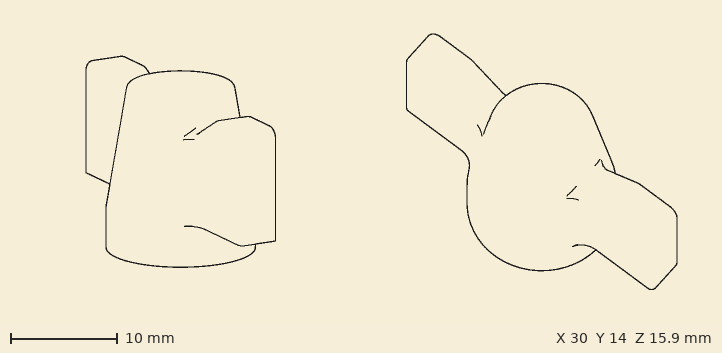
import cadquery as cq
import math

hub_diameter = 14.0
hub_radius = hub_diameter / 2
base_height = 4.0
total_height = 15.87
crown_radius = 5.0
crown_fillet = 0.5
seam_angle = 90.0

span = 30.0
wing_thickness = 4.0
wing_top = 15.0
shoulder_x = 10.05
shoulder_angle = 30.0
corner_radius = 1.2
shoulder_radius = 1.5
edge_fillet = 0.5
root_fillet = 2.0


def slope_height(x):
    """Height of the sloping wing top at a given distance from the axis."""
    return wing_top - (shoulder_x - abs(x)) * math.tan(math.radians(shoulder_angle))


def make_hub():
    """Base cylinder and tapered knob, kept apart until the wings are blended in."""
    base = cq.Workplane("XY").circle(hub_radius).extrude(base_height)
    knob = cq.Solid.makeCone(
        hub_radius,
        crown_radius,
        total_height - base_height,
        pnt=cq.Vector(0, 0, base_height),
    )
    return base, cq.Workplane(knob).rotate((0, 0, 0), (0, 0, 1), seam_angle)


def make_wings():
    """Both grips as one plate whose valley lies inside the knob."""
    half_span = span / 2
    profile = [
        (-half_span, base_height),
        (half_span, base_height),
        (half_span, wing_top),
        (shoulder_x, wing_top),
        (0, slope_height(0)),
        (-shoulder_x, wing_top),
        (-half_span, wing_top),
    ]
    plate = (
        cq.Workplane("XZ").polyline(profile).close()
        .extrude(wing_thickness / 2, both=True)
    )
    end_corners = plate.edges("|Y and >Z").filter(
        lambda edge: math.isclose(abs(edge.Center().x), half_span, abs_tol=0.003)
    )
    plate = end_corners.fillet(corner_radius)
    shoulders = plate.edges("|Y").filter(
        lambda edge: math.isclose(abs(edge.Center().x), shoulder_x, abs_tol=0.003)
    )
    return shoulders.fillet(shoulder_radius)


def round_roots(body):
    """Blend the flat wing sides into the tapered knob."""
    roots = body.edges("%HYPERBOLA")
    return roots.fillet(root_fillet)


def touches_slope_end(edge):
    """True for the curved edge that continues a wing slope around its root blend."""
    half_thickness = wing_thickness / 2
    box = edge.BoundingBox()
    nearest_side = min(abs(box.ymin), abs(box.ymax))
    on_slope = all(
        math.isclose(point.z, slope_height(point.x), abs_tol=0.003)
        for point in (edge.startPoint(), edge.endPoint())
    )
    return on_slope and math.isclose(nearest_side, half_thickness, abs_tol=0.003)


def round_wing_edges(body):
    """Round the wing outlines and the creases where their slopes meet the knob.

    The outlines are tangent chains, so picking the piece next to the knob rounds the whole chain.
    """
    creases = body.edges("%ELLIPSE").vals()
    chain_starts = body.edges("%BSPLINE").filter(touches_slope_end).vals()
    return body.newObject(creases + chain_starts).fillet(edge_fillet)


base, knob = make_hub()
grip = round_wing_edges(round_roots(knob.union(make_wings())))
result = grip.union(base).faces(">Z").edges().fillet(crown_fillet)